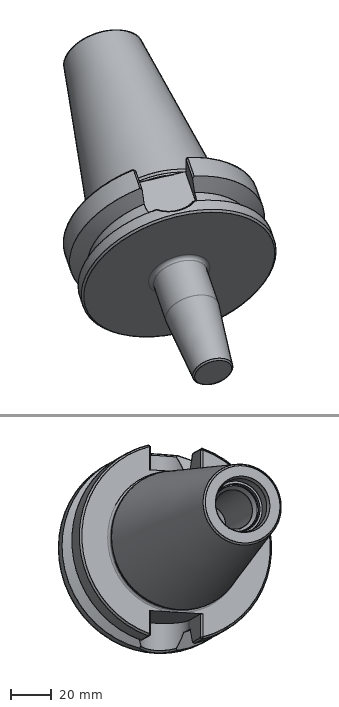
import cadquery as cq
import math

total_length = 201.8

taper_end = 101.0
taper_ratio = 7 / 24
taper_small_radius = 20.2
taper_large_radius = taper_small_radius + taper_end * taper_ratio / 2
shank_chamfer = 0.8

relief_start = 102.3
relief_radius = 34.3
relief_fillet = 1.2

flange_start = 104.7
flange_end = 139.6
flange_radius = 49.95
flange_chamfer = 1.0
groove_radius = 42.2
groove_start = 117.5
groove_floor_start = 121.7
groove_floor_end = 128.3
groove_end = 132.8

nose_radius = 13.7
nose_fillet = 2.0
nose_taper_start = 163.7
nose_tip_radius = 10.3
nose_chamfer = 0.8

slot_half_width = 13.0
slot_floor = 35.3
slot_center = 123.0
slot_chamfer = 1.0

bore_mouth_radius = 14.1
mouth_depth = 2.5
pilot_radius = 13.3
pilot_depth = 9.5
step_radius = 12.1
step_depth = 12.0
lead_in_radius = 11.5
lead_in_depth = 14.5
drill_radius = 9.9
drill_depth = 56.5
drill_tip_angle = 118.0


def make_body():
    """Turned outside of the holder, revolved about the X axis."""
    half_profile = (
        cq.Workplane("XY")
        .moveTo(0, 0)
        .lineTo(0, taper_small_radius - shank_chamfer)
        .lineTo(shank_chamfer, taper_small_radius + shank_chamfer * taper_ratio / 2)
        .lineTo(taper_end, taper_large_radius)
        .lineTo(relief_start, relief_radius)
        .lineTo(flange_start - relief_fillet, relief_radius)
        .radiusArc((flange_start, relief_radius + relief_fillet), -relief_fillet)
        .lineTo(flange_start, flange_radius - flange_chamfer)
        .lineTo(flange_start + flange_chamfer, flange_radius)
        .lineTo(groove_start, flange_radius)
        .lineTo(groove_floor_start, groove_radius)
        .lineTo(groove_floor_end, groove_radius)
        .lineTo(groove_end, flange_radius)
        .lineTo(flange_end - flange_chamfer, flange_radius)
        .lineTo(flange_end, flange_radius - flange_chamfer)
        .lineTo(flange_end, nose_radius + nose_fillet)
        .radiusArc((flange_end + nose_fillet, nose_radius), -nose_fillet)
        .lineTo(nose_taper_start, nose_radius)
        .lineTo(total_length - nose_chamfer, nose_tip_radius)
        .lineTo(total_length, nose_tip_radius - nose_chamfer)
        .lineTo(total_length, 0)
        .close()
    )
    return half_profile.revolve(360, (0, 0, 0), (1, 0, 0))


def make_bore():
    """Stepped blind bore with a drill point, revolved about the X axis."""
    tip_length = drill_radius / math.tan(math.radians(drill_tip_angle / 2))
    half_profile = (
        cq.Workplane("XY")
        .moveTo(0, 0)
        .lineTo(0, bore_mouth_radius)
        .lineTo(mouth_depth, pilot_radius)
        .lineTo(pilot_depth, pilot_radius)
        .lineTo(pilot_depth, step_radius)
        .lineTo(step_depth, step_radius)
        .lineTo(step_depth, lead_in_radius)
        .lineTo(lead_in_depth, drill_radius)
        .lineTo(drill_depth, drill_radius)
        .lineTo(drill_depth + tip_length, 0)
        .close()
    )
    return half_profile.revolve(360, (0, 0, 0), (1, 0, 0))


def make_drive_slot():
    """Round-ended slot above the axis, open through the rear flange face."""
    height = flange_radius - slot_floor
    return (
        cq.Workplane("XY")
        .workplane(offset=slot_floor)
        .moveTo(flange_start, -slot_half_width)
        .lineTo(slot_center, -slot_half_width)
        .threePointArc((slot_center + slot_half_width, 0), (slot_center, slot_half_width))
        .lineTo(flange_start, slot_half_width)
        .close()
        .extrude(height)
    )


def slot_edge_box(start, end, side):
    """Selector for slot edges in the outer flange between two stations.

    Side is +1 for the top slot and -1 for the bottom one.
    """
    box_half_width = slot_half_width + slot_chamfer
    box_floor = slot_floor + slot_chamfer
    return cq.selectors.BoxSelector(
        (start, -box_half_width, side * box_floor),
        (end, box_half_width, side * flange_radius),
    )


result = make_body().cut(make_bore())

slot = make_drive_slot()
for slot_angle in (0, 180):
    result = result.cut(slot.rotate((0, 0, 0), (1, 0, 0), slot_angle))

for slot_side in (1, -1):
    rear_collar_edges = slot_edge_box(flange_start - slot_chamfer, groove_start, slot_side)
    front_collar_edges = slot_edge_box(groove_end, flange_end, slot_side)
    result = result.edges(rear_collar_edges).chamfer(slot_chamfer)
    result = result.edges(front_collar_edges).chamfer(slot_chamfer)